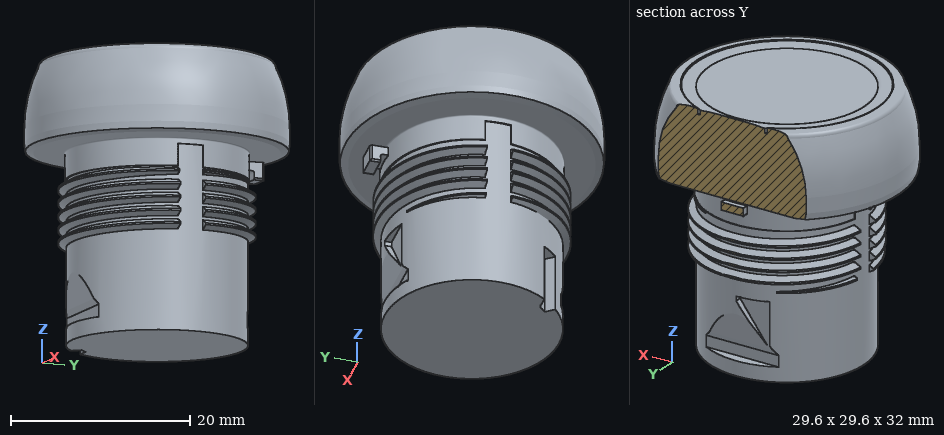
import cadquery as cq
import math

TOTAL_HEIGHT = 32.02
HEAD_BASE = 22.0
GASKET_BASE = 21.77
NECK_BASE = 18.6

HEAD_RADIUS = 14.8
HEAD_BASE_RADIUS = 14.7
GASKET_RADIUS = 13.8
NECK_RADIUS = 10.28
BARREL_RADIUS = 10.15

BAND_BOTTOM = 22.8
BAND_TOP = 24.7
SIDE_TOP = 31.35
SIDE_ARC_RADIUS = 15.3
BEZEL_EDGE_RADIUS = 13.0
BEZEL_EDGE_HEIGHT = 31.85
BEZEL_CREST_RADIUS = 12.3
BEZEL_INNER_RADIUS = 11.88
BEZEL_INNER_HEIGHT = 31.97
BEZEL_BULGE = 0.05

GAP_DEPTH = 0.6
CAP_RADIUS = 11.78
CAP_EDGE_RADIUS = 11.6
CAP_EDGE_HEIGHT = 31.85
DISH_RADIUS = 10.15
DISH_RIM_HEIGHT = 31.67
DISH_DEPTH = 0.9
CAP_RIM_BULGE = 0.18

NECK_FLARE = 0.15

PITCH = 1.5
CREST_RADIUS = 11.02
CREST_WIDTH = 0.2
ROOT_WIDTH = 1.3
ROOT_OVERLAP = 0.15
PHASE_HEIGHT = 12.05
THREAD_START = -132
THREAD_END = 1390
RUNOUT_ANGLE = 120
POINT_STEP = 15

KEYWAY_WIDTH = 3.0
KEYWAY_TOP = 21.1

HOOK_WIDTH = 3.0
HOOK_TOP = 21.3
HOOK_BOTTOM = 19.3
HOOK_ARM_BOTTOM = 20.3
HOOK_REACH = 12.28
HOOK_LEG_INNER = 11.07
HOOK_INNER_FILLET = 0.3
HOOK_CHAMFER = 0.2
HOOK_EMBED = 1.5

NOTCH_BOTTOM = 1.88
NOTCH_FLOOR_TOP = 3.3
NOTCH_KNEE = 4.02
NOTCH_TOP = 7.6
NOTCH_FLOOR_Y = 8.9
NOTCH_KNEE_Y = 9.24

SLOT_HEIGHT = 7.0
SLOT_BACK_Y = -5.95
SLOT_SIDE_X = -6.58
SLOT_UNDERCUT = (-5.78, -6.75)
SLOT_MOUTH_Y = -7.75

POCKET_FLOOR_Y = 9.35
POCKET_TOP = 9.8
POCKET_RAMP_TOP = 9.23
POCKET_RAMP_BOTTOM = 4.0
POCKET_END_X = 0


def make_head():
    """Revolve the head, bezel, cap gap and dished cap."""
    side_rise = SIDE_TOP - BAND_TOP
    side_top_radius = HEAD_RADIUS - SIDE_ARC_RADIUS + math.sqrt(SIDE_ARC_RADIUS**2 - side_rise**2)
    half_rise = side_rise / 2
    side_mid_radius = HEAD_RADIUS - SIDE_ARC_RADIUS + math.sqrt(SIDE_ARC_RADIUS**2 - half_rise**2)
    bezel_mid = (
        (side_top_radius + BEZEL_EDGE_RADIUS) / 2 + BEZEL_BULGE,
        (SIDE_TOP + BEZEL_EDGE_HEIGHT) / 2 + BEZEL_BULGE,
    )
    rim_mid = (
        (CAP_EDGE_RADIUS + DISH_RADIUS) / 2,
        (CAP_EDGE_HEIGHT + DISH_RIM_HEIGHT) / 2 + CAP_RIM_BULGE,
    )
    dish_bottom = DISH_RIM_HEIGHT - DISH_DEPTH
    dish_sphere = (DISH_RADIUS**2 + DISH_DEPTH**2) / (2 * DISH_DEPTH)
    dish_mid_radius = DISH_RADIUS / 2
    dish_mid_height = dish_bottom + dish_sphere - math.sqrt(dish_sphere**2 - dish_mid_radius**2)
    gap_floor = CAP_EDGE_HEIGHT - GAP_DEPTH
    profile = (
        cq.Workplane("XZ")
        .moveTo(0, GASKET_BASE)
        .lineTo(GASKET_RADIUS, GASKET_BASE)
        .lineTo(HEAD_BASE_RADIUS, HEAD_BASE)
        .lineTo(HEAD_RADIUS, BAND_BOTTOM)
        .lineTo(HEAD_RADIUS, BAND_TOP)
        .threePointArc((side_mid_radius, BAND_TOP + half_rise), (side_top_radius, SIDE_TOP))
        .threePointArc(bezel_mid, (BEZEL_EDGE_RADIUS, BEZEL_EDGE_HEIGHT))
        .threePointArc((BEZEL_CREST_RADIUS, TOTAL_HEIGHT), (BEZEL_INNER_RADIUS, BEZEL_INNER_HEIGHT))
        .lineTo(BEZEL_INNER_RADIUS, gap_floor)
        .lineTo(CAP_RADIUS, gap_floor)
        .lineTo(CAP_RADIUS, CAP_EDGE_HEIGHT)
        .lineTo(CAP_EDGE_RADIUS, CAP_EDGE_HEIGHT)
        .threePointArc(rim_mid, (DISH_RADIUS, DISH_RIM_HEIGHT))
        .threePointArc((dish_mid_radius, dish_mid_height), (0, dish_bottom))
        .close()
    )
    return profile.revolve(360, (0, 0, 0), (0, 1, 0))


def cylinder(radius, bottom, top):
    return cq.Workplane("XY").workplane(offset=bottom).circle(radius).extrude(top - bottom)


def make_neck():
    """Collar under the head with a flared top edge."""
    profile = (
        cq.Workplane("XZ")
        .moveTo(0, NECK_BASE)
        .lineTo(NECK_RADIUS, NECK_BASE)
        .lineTo(NECK_RADIUS, GASKET_BASE - NECK_FLARE)
        .radiusArc((NECK_RADIUS + NECK_FLARE, GASKET_BASE), NECK_FLARE)
        .lineTo(0, GASKET_BASE)
        .close()
    )
    return profile.revolve(360, (0, 0, 0), (0, 1, 0))


def thread_section(angle, crest_radius):
    """Four corners of the thread profile: root and crest below, crest and root above."""
    root_radius = BARREL_RADIUS - ROOT_OVERLAP
    growth = (crest_radius - root_radius) / (CREST_RADIUS - root_radius)
    half_crest = CREST_WIDTH / 2
    half_root = half_crest + (ROOT_WIDTH - CREST_WIDTH) / 2 * growth
    height = PHASE_HEIGHT + PITCH * angle / 360
    corners = (
        (root_radius, -half_root),
        (crest_radius, -half_crest),
        (crest_radius, half_crest),
        (root_radius, half_root),
    )
    turn = math.radians(angle)
    return [cq.Vector(r * math.cos(turn), r * math.sin(turn), height + dz) for r, dz in corners]


def thread_faces(start, end, start_crest, end_crest):
    """Four ruled faces that follow the thread between two angles."""
    steps = math.ceil((end - start) / POINT_STEP)
    sections = []
    for i in range(steps + 1):
        share = i / steps
        crest = start_crest + (end_crest - start_crest) * share
        sections.append(thread_section(start + (end - start) * share, crest))
    edges = [cq.Edge.makeSpline(list(points)) for points in zip(*sections)]
    return [cq.Face.makeRuledSurface(edges[i], edges[(i + 1) % len(edges)]) for i in range(len(edges))]


def thread_cap(angle, crest_radius):
    return cq.Face.makeFromWires(cq.Wire.makePolygon(thread_section(angle, crest_radius), close=True))


def make_thread():
    """Right-hand thread that rises from the barrel and fades back into it."""
    faded_radius = BARREL_RADIUS - ROOT_OVERLAP / 2
    first = THREAD_START - RUNOUT_ANGLE
    last = THREAD_END + RUNOUT_ANGLE
    faces = thread_faces(first, THREAD_START, faded_radius, CREST_RADIUS)
    faces += thread_faces(THREAD_START, THREAD_END, CREST_RADIUS, CREST_RADIUS)
    faces += thread_faces(THREAD_END, last, CREST_RADIUS, faded_radius)
    faces += [thread_cap(first, faded_radius), thread_cap(last, faded_radius)]
    return cq.Workplane(obj=cq.Solid.makeSolid(cq.Shell.makeShell(faces)))


def make_keyways():
    """Bar across the part that clears both keyways."""
    return cq.Workplane("XY").box(2 * HEAD_RADIUS, KEYWAY_WIDTH, KEYWAY_TOP, centered=(True, True, False))


def make_hook():
    """L-shaped hook: an arm out of the neck with a leg pointing down."""
    arm_root = BARREL_RADIUS - HOOK_EMBED
    hook = (
        cq.Workplane("YZ")
        .moveTo(arm_root, HOOK_TOP)
        .lineTo(HOOK_REACH, HOOK_TOP)
        .lineTo(HOOK_REACH, HOOK_BOTTOM)
        .lineTo(HOOK_LEG_INNER, HOOK_BOTTOM)
        .lineTo(HOOK_LEG_INNER, HOOK_ARM_BOTTOM)
        .lineTo(arm_root, HOOK_ARM_BOTTOM)
        .close()
        .extrude(HOOK_WIDTH / 2, both=True)
    )
    inner_corner = cq.selectors.NearestToPointSelector((0, HOOK_LEG_INNER, HOOK_ARM_BOTTOM))
    hook = hook.edges(inner_corner).fillet(HOOK_INNER_FILLET)
    bottom_sides = hook.faces("<Z").edges("|Y")
    outer_sides = hook.faces(">Y").edges("|Z")
    return bottom_sides.add(outer_sides).chamfer(HOOK_CHAMFER)


def make_notch():
    """Snap notch on the -Y side: flat floor with a two-slope ramp above it."""
    ramp_slope = (BARREL_RADIUS - NOTCH_KNEE_Y) / (NOTCH_TOP - NOTCH_KNEE)
    outer_y = HEAD_RADIUS
    outer_z = NOTCH_TOP + (outer_y - BARREL_RADIUS) / ramp_slope
    outline = [
        (-outer_y, NOTCH_BOTTOM),
        (-NOTCH_FLOOR_Y, NOTCH_BOTTOM),
        (-NOTCH_FLOOR_Y, NOTCH_FLOOR_TOP),
        (-NOTCH_KNEE_Y, NOTCH_KNEE),
        (-outer_y, outer_z),
    ]
    return cq.Workplane("YZ").polyline(outline).close().extrude(BARREL_RADIUS, both=True)


def make_slot():
    """Axial slot, undercut on one side, open at the bottom of the barrel."""
    outline = [
        (-BARREL_RADIUS, SLOT_BACK_Y),
        (SLOT_SIDE_X, SLOT_BACK_Y),
        SLOT_UNDERCUT,
        (SLOT_SIDE_X, SLOT_MOUTH_Y),
        (-BARREL_RADIUS, SLOT_MOUTH_Y),
    ]
    return cq.Workplane("XY").polyline(outline).close().extrude(SLOT_HEIGHT)


def make_pocket():
    """Flat-floored pocket whose lower side ramps out to the barrel surface."""
    edge_x = -math.sqrt(BARREL_RADIUS**2 - POCKET_FLOOR_Y**2)
    outline = [
        (edge_x, POCKET_TOP),
        (POCKET_END_X, POCKET_TOP),
        (POCKET_END_X, POCKET_RAMP_TOP),
        (edge_x, POCKET_RAMP_BOTTOM),
    ]
    sketch = cq.Workplane("XZ", origin=(0, POCKET_FLOOR_Y, 0)).polyline(outline).close()
    return sketch.extrude(POCKET_FLOOR_Y - HEAD_RADIUS)


barrel = cylinder(BARREL_RADIUS, 0, GASKET_BASE)
notch = make_notch()
barrel = barrel.cut(notch).cut(notch.mirror("XZ"))
barrel = barrel.cut(make_slot()).cut(make_pocket())

keyways = make_keyways()
thread = make_thread().cut(keyways)
neck = make_neck().cut(keyways)

result = barrel.union(thread).union(neck).union(make_head()).union(make_hook())